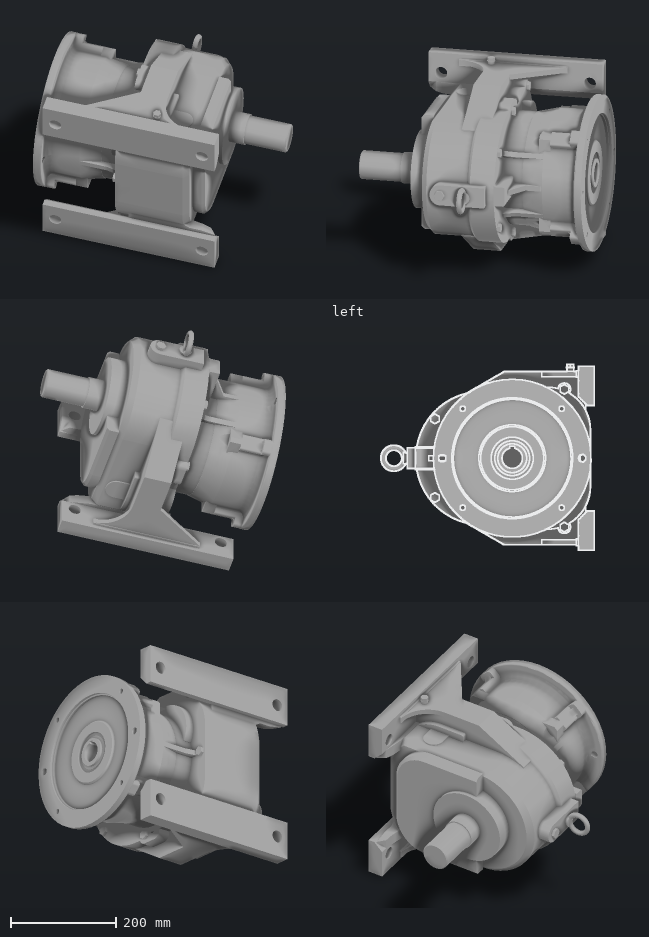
import cadquery as cq
import math


FLANGE_DIA = 300
FLANGE_THICK = 15
FLANGE_EDGE_RADIUS = 3
HOUSING_RADIUS = 120
HOUSING_BLEND = 14
HOUSING_CONE_START = 83
HOUSING_CONE_END = 123.5
HOUSING_CONE_RADIUS = 110
HOUSING_NECK_RADIUS = 109
SEAM_ANGLE = 20
BOLT_CIRCLE_RADIUS = 133
SMALL_HOLE_DIA = 10.2
SMALL_HOLE_DEPTH = 28
LARGE_HOLE_DIA = 14

SPIGOT_DIA = 230
SPIGOT_DEPTH = 5
INNER_RECESS_DIA = 224
INNER_RECESS_DEPTH = 10
BOSS_BASE_DIA = 127
BOSS_TOP_DIA = 120
BOSS_HEIGHT = 4
SEAL_BORE_DIA = 80
SEAL_STEP_DIA = 66.41
SEAL_STEP_HEIGHT = 1
SLEEVE_DIA = 55
SLEEVE_HEIGHT = 6
INPUT_BORE_DIA = 39
INPUT_BORE_DEPTH = 60
KEYWAY_WIDTH = 10
KEYWAY_TOP = 22.5

LUG_TOP = 149.4
LUG_RIB_HEIGHT = 134.5
LUG_HALF_WIDTH = 15
LUG_EDGE_RADIUS = 7
RIB_EDGE_RADIUS = 4.5
RIB_BASE_RADIUS = 6.8
RIB_BASE_Y = 118
RIB_WALL_BASE_Y = 122.5
LUG_END = 30
LUG_STEP_RADIUS = 8
LUG_BLOCK_START = 71
LUG_BLOCK_END = 93
LUG_BLOCK_HALF = 98.5
LUG_BLOCK_CHAMFER = 6.5
LUG_CLEARANCE_RADIUS = 20
LUG_CLEARANCE_END = 115

SHAFT_Y = 50
CASE_TOP_Y = 56.4
COVER_FACE = 162
COVER_JOINT = 177.5
CASE_FLANGE_END = 209
CASE_FLANGE_RAMP_END = 216
CASE_END = 306.5
CASE_END_CHAMFER = 11
CASE_RADIUS = 119.6
CASE_FLANGE_RADIUS = 127.2
NOTCH_HALF_WIDTH = 113
CASE_BOTTOM = -149
CASE_FLAT_HALF = 53
CASE_CORNER_RADIUS = 82
SHOULDER_TOP = -30
SHOULDER_RADIUS = 35
EAR_TOP = 44
EAR_BOTTOM = -14
EAR_HALF_WIDTH = 137
EAR_CORNER_RADIUS = 15
EAR_HOLE_DIA = 10
EAR_HOLE_Y = 8
EAR_HOLE_Z = 119
LOWER_EAR_Y = -99
LOWER_EAR_Z = 131
LOWER_EAR_RADIUS = 12
BOLT_HEX_DIA = 18.5
BOLT_HEAD_HEIGHT = 6
CASE_BOLT_RADIUS = 122.5
UPPER_BOLT_Y = 147
MIDDLE_BOLT_Y = 27.5
BOTTOM_BOLT_Y = -137
COVER_BOSS_RADIUS = 59
COVER_BOSS_OFFSET = 55
COVER_BOSS_LOW_Z = 27
COVER_BOSS_START = 145

FIN_WIDTH = 10
FIN_START = 85
FIN_KNEE = 138
FIN_RISE = 5
FIN_ANGLES = (60, 120, 270)
BRACKET_START = 140.5
BRACKET_TOP = 184
BRACKET_HALF_WIDTH = 19
BRACKET_CORNER_RADIUS = 4
BRACKET_FOOT_RADIUS = 2.5
GUSSET_KNEE = 114.5
GUSSET_TOP = 159

SHAFT_DIA = 55
SHAFT_END = 450
SHAFT_CHAMFER = 2
SHAFT_SHOULDER_DIA = 60
SHAFT_SHOULDER_END = 368
COLLAR_DIA = 150
COLLAR_END = 338
PAD_END = 329.7
PAD_CHAMFER = 5.7
PAD_TOP = 66.6
PAD_BOTTOM = -117
PAD_FLAT_HALF = 48
PAD_CORNER_RADIUS = 66

FOOT_START = 21
FOOT_LENGTH = 340
FOOT_BOTTOM = -156
FOOT_THICK = 30
FOOT_TOP = FOOT_BOTTOM + FOOT_THICK
FOOT_OUTER = 175
FOOT_WIDTH = 75
FOOT_INNER = FOOT_OUTER - FOOT_WIDTH
FOOT_CHAMFER = 17
FOOT_HOLE_DIA = 24
FOOT_HOLE_Z = 135
FOOT_HOLE_START = 46
FOOT_HOLE_SPACING = 290
WEB_FRONT = 186.5
WEB_BACK = 240
WEB_OUTER = 165
WEB_SLOPE_START_Y = 15
WEB_SLOPE_ANGLE = 30
WEB_THICK = 10
WEB_TOE = 89
WEB_KNEE_Y = -56
WEB_ARC_RADIUS = 60
WEB_PAD_HEIGHT = 4.5
WEB_PAD_MARGIN = 1.5
WEB_INNER_Y = -140
WEB_INNER_Z = 89
BACK_PLATE_END = 250
BACK_PLATE_TOP = -14
BACK_PLATE_CORNER = 4
TOE_WEDGE_TOP = -119
TOE_WEDGE_END = 346
TOE_INNER_Z = 95
TOE_KNEE_X = 330
TOE_END_X = 358
SIDE_BOSS_Y = -66
SIDE_BOSS_RADIUS = 20
SIDE_BOSS_END = 292
SIDE_BOSS_HEIGHT = 3

PLUG_X = 234.6
PLUG_Y = -110.5
PLUG_NECK_DIA = 13
PLUG_WASHER_DIA = 15.5
PLUG_NECK_END = 171.5
PLUG_WASHER_END = 172.5
PLUG_TOP = 179
TOP_BLOCK_END = 283.5
TOP_BLOCK_HALF_WIDTH = 20
TOP_BLOCK_Y = 200
TOP_PLUG_X = 264
TOP_PLUG_HEX = 20
TOP_PLUG_HEIGHT = 6
EYE_X = 216
EYE_Y = 225
EYE_RADIUS = 20
EYE_WIRE_DIA = 10
EYE_BASE_DIA = 19
EYE_BASE_TOP_DIA = 24
EYE_BASE_HEIGHT = 7


def section(start):
    """Plane across the shafts at X = start; its local axes are Y and Z."""
    return cq.Workplane("YZ", origin=(start, 0, 0))


def disc(start, end, diameter, y=0, z=0):
    return section(start).center(y, z).circle(diameter / 2).extrude(end - start)


def plate(start, end, y0, y1, z0, z1):
    corner = (start, y0, z0)
    return cq.Workplane("XY").box(end - start, y1 - y0, z1 - z0, centered=False).translate(corner)


def along_z(z0, z1):
    return cq.Workplane("XY", origin=(0, 0, z0)), z1 - z0


def both_sides(body):
    """The body and its mirror image in the plane Z = 0."""
    return body.union(body.mirror("XY"))


def turned(body, angle):
    return body.rotate((0, 0, 0), (1, 0, 0), angle)


def motor_housing():
    flange_radius = FLANGE_DIA / 2
    blend_end = FLANGE_THICK + HOUSING_BLEND
    blend_top = HOUSING_RADIUS + HOUSING_BLEND
    middle = HOUSING_BLEND * (1 - math.sqrt(0.5))
    rim = FLANGE_EDGE_RADIUS
    rim_middle = rim * math.sqrt(0.5)
    floor = INNER_RECESS_DEPTH
    profile = (
        cq.Workplane("XY")
        .moveTo(INPUT_BORE_DEPTH, 0)
        .lineTo(INPUT_BORE_DEPTH, INPUT_BORE_DIA / 2)
        .lineTo(floor - SLEEVE_HEIGHT, INPUT_BORE_DIA / 2)
        .lineTo(floor - SLEEVE_HEIGHT, SLEEVE_DIA / 2)
        .lineTo(floor - SEAL_STEP_HEIGHT, SLEEVE_DIA / 2)
        .lineTo(floor - SEAL_STEP_HEIGHT, SEAL_STEP_DIA / 2)
        .lineTo(floor, SEAL_STEP_DIA / 2)
        .lineTo(floor, SEAL_BORE_DIA / 2)
        .lineTo(floor - BOSS_HEIGHT, SEAL_BORE_DIA / 2)
        .lineTo(floor - BOSS_HEIGHT, BOSS_TOP_DIA / 2)
        .lineTo(floor, BOSS_BASE_DIA / 2)
        .lineTo(floor, INNER_RECESS_DIA / 2)
        .lineTo(SPIGOT_DEPTH, INNER_RECESS_DIA / 2)
        .lineTo(SPIGOT_DEPTH, SPIGOT_DIA / 2)
        .lineTo(0, SPIGOT_DIA / 2)
        .lineTo(0, flange_radius)
        .lineTo(FLANGE_THICK - rim, flange_radius)
        .threePointArc(
            (FLANGE_THICK - rim + rim_middle, flange_radius - rim + rim_middle),
            (FLANGE_THICK, flange_radius - rim),
        )
        .lineTo(FLANGE_THICK, blend_top)
        .threePointArc(
            (FLANGE_THICK + middle, HOUSING_RADIUS + middle), (blend_end, HOUSING_RADIUS)
        )
        .lineTo(HOUSING_CONE_START, HOUSING_RADIUS)
        .lineTo(HOUSING_CONE_END, HOUSING_CONE_RADIUS)
        .lineTo(HOUSING_CONE_END, HOUSING_NECK_RADIUS)
        .lineTo(COVER_FACE, HOUSING_NECK_RADIUS)
        .lineTo(COVER_FACE, 0)
        .close()
    )
    return turned(profile.revolve(360, (0, 0, 0), (1, 0, 0)), SEAM_ANGLE)


def lug_rib():
    """Lug behind the flange rim and a lower rounded rib behind it, in the +Y direction."""
    start = FLANGE_THICK - FLANGE_EDGE_RADIUS
    lug = plate(start, LUG_END, HOUSING_NECK_RADIUS, LUG_TOP, -LUG_HALF_WIDTH, LUG_HALF_WIDTH)
    lug = lug.edges("|X and >Y").fillet(LUG_EDGE_RADIUS)
    step = (
        cq.Workplane("XY", origin=(0, 0, -LUG_HALF_WIDTH + LUG_EDGE_RADIUS))
        .moveTo(LUG_END, LUG_RIB_HEIGHT - LUG_STEP_RADIUS)
        .lineTo(LUG_END, LUG_RIB_HEIGHT + LUG_STEP_RADIUS)
        .radiusArc((LUG_END + LUG_STEP_RADIUS, LUG_RIB_HEIGHT), -LUG_STEP_RADIUS)
        .lineTo(LUG_END + LUG_STEP_RADIUS, LUG_RIB_HEIGHT - LUG_STEP_RADIUS)
        .close()
        .extrude(2 * (LUG_HALF_WIDTH - LUG_EDGE_RADIUS))
    )
    base_half = LUG_HALF_WIDTH + RIB_BASE_RADIUS
    flat_half = LUG_HALF_WIDTH - RIB_EDGE_RADIUS
    shoulder_y = LUG_RIB_HEIGHT - RIB_EDGE_RADIUS
    rib = (
        section(start)
        .moveTo(HOUSING_NECK_RADIUS, -base_half)
        .lineTo(RIB_BASE_Y, -base_half)
        .radiusArc((RIB_WALL_BASE_Y, -LUG_HALF_WIDTH), RIB_BASE_RADIUS)
        .lineTo(shoulder_y, -LUG_HALF_WIDTH)
        .radiusArc((LUG_RIB_HEIGHT, -flat_half), -RIB_EDGE_RADIUS)
        .lineTo(LUG_RIB_HEIGHT, flat_half)
        .radiusArc((shoulder_y, LUG_HALF_WIDTH), -RIB_EDGE_RADIUS)
        .lineTo(RIB_WALL_BASE_Y, LUG_HALF_WIDTH)
        .radiusArc((RIB_BASE_Y, base_half), RIB_BASE_RADIUS)
        .lineTo(HOUSING_NECK_RADIUS, base_half)
        .close()
        .extrude(LUG_BLOCK_START - start)
    )
    return rib.union(lug).union(step)


def with_lugs(body):
    side = 2 * LUG_BLOCK_HALF
    blocks = (
        section(LUG_BLOCK_START).rect(side, side).extrude(LUG_BLOCK_END - LUG_BLOCK_START)
        .edges("|X").chamfer(LUG_BLOCK_CHAMFER)
    )
    blocks = blocks.intersect(disc(LUG_BLOCK_START, LUG_BLOCK_END, FLANGE_DIA))
    body = body.union(blocks)
    clearance = disc(LUG_BLOCK_END, LUG_CLEARANCE_END, 2 * LUG_CLEARANCE_RADIUS, BOLT_CIRCLE_RADIUS)
    for angle in (45, 135, 225, 315):
        body = body.union(turned(lug_rib(), angle))
        body = body.cut(turned(clearance, angle))
    return body


def flange_holes(body):
    small = disc(0, SMALL_HOLE_DEPTH, SMALL_HOLE_DIA, BOLT_CIRCLE_RADIUS)
    for angle in (45, 135, 225, 315):
        body = body.cut(turned(small, angle))
    large = disc(0, FLANGE_THICK + HOUSING_BLEND, LARGE_HOLE_DIA, BOLT_CIRCLE_RADIUS)
    for angle in (0, 180):
        body = body.cut(turned(large, angle))
    return body


def input_keyway(body):
    half_key = KEYWAY_WIDTH / 2
    return body.cut(plate(0, INPUT_BORE_DEPTH, -half_key, half_key, 0, KEYWAY_TOP))


def neck_fin():
    """Fin in the +Y direction along the neck, rising towards the gear case."""
    return (
        cq.Workplane("XY", origin=(0, 0, -FIN_WIDTH / 2))
        .moveTo(FIN_START, 0)
        .lineTo(FIN_START, HOUSING_RADIUS)
        .lineTo(FIN_KNEE, HOUSING_RADIUS)
        .lineTo(COVER_FACE, HOUSING_RADIUS + FIN_RISE)
        .lineTo(COVER_FACE, 0)
        .close()
        .extrude(FIN_WIDTH)
    )


def neck_bracket():
    """Upright block against the cover with a sloping gusset in front of it."""
    block = plate(
        BRACKET_START, COVER_FACE, 0, BRACKET_TOP, -BRACKET_HALF_WIDTH, BRACKET_HALF_WIDTH
    )
    block = block.edges("|Y and <X").fillet(BRACKET_CORNER_RADIUS)
    base_half = BRACKET_HALF_WIDTH + BRACKET_FOOT_RADIUS
    base = plate(
        COVER_FACE - BRACKET_FOOT_RADIUS, COVER_FACE, 0, BRACKET_TOP, -base_half, base_half
    )
    base = base.edges("|Y and <X").chamfer(BRACKET_FOOT_RADIUS * 0.99)
    gusset = (
        cq.Workplane("XY", origin=(0, 0, -FIN_WIDTH / 2))
        .moveTo(FIN_START, 0)
        .lineTo(FIN_START, HOUSING_RADIUS)
        .lineTo(GUSSET_KNEE, HOUSING_RADIUS)
        .lineTo(BRACKET_START, GUSSET_TOP)
        .lineTo(BRACKET_START, 0)
        .close()
        .extrude(FIN_WIDTH)
    )
    return block.union(base).union(gusset)


def case_outline(plane, inset):
    """Case outline moved inwards by inset: round top, straight sides, rounded lower corners."""
    bottom = CASE_BOTTOM + inset
    side = CASE_RADIUS - inset
    corner = CASE_CORNER_RADIUS - inset
    low_y = bottom + corner - math.sqrt(corner**2 - (side - CASE_FLAT_HALF) ** 2)
    return (
        plane.moveTo(bottom, -CASE_FLAT_HALF)
        .lineTo(bottom, CASE_FLAT_HALF)
        .radiusArc((low_y, side), corner)
        .lineTo(CASE_TOP_Y, side)
        .threePointArc((CASE_TOP_Y + side, 0), (CASE_TOP_Y, -side))
        .lineTo(low_y, -side)
        .radiusArc((bottom, -CASE_FLAT_HALF), corner)
        .close()
    )


def case_shell():
    chamfer_start = CASE_END - CASE_END_CHAMFER
    shell = case_outline(section(COVER_FACE), 0).extrude(chamfer_start - COVER_FACE)
    end = case_outline(section(chamfer_start), 0).workplane(offset=CASE_END_CHAMFER)
    return shell.union(case_outline(end, CASE_END_CHAMFER).loft(ruled=True))


def lower_frame(start, end, top, top_radius):
    """Rounded lower part of the case flange, up to Y = top."""
    side = CASE_FLAT_HALF + CASE_CORNER_RADIUS
    frame = section(start).center((top + CASE_BOTTOM) / 2, 0)
    frame = frame.rect(top - CASE_BOTTOM, 2 * side).extrude(end - start)
    frame = frame.edges("|X and >Y").fillet(top_radius)
    disc_y = CASE_BOTTOM + CASE_CORNER_RADIUS
    corners = plate(start, end, CASE_BOTTOM, disc_y, CASE_FLAT_HALF, side)
    corners = corners.cut(disc(start, end, 2 * CASE_CORNER_RADIUS, disc_y, CASE_FLAT_HALF))
    return frame.cut(both_sides(corners))


def case_flange():
    ring = disc(COVER_FACE, CASE_FLANGE_END, 2 * CASE_FLANGE_RADIUS, CASE_TOP_Y)
    ramp = (
        section(CASE_FLANGE_END).center(CASE_TOP_Y, 0).circle(CASE_FLANGE_RADIUS)
        .workplane(offset=CASE_FLANGE_RAMP_END - CASE_FLANGE_END).circle(CASE_RADIUS).loft()
    )
    ear = plate(COVER_FACE, WEB_FRONT, EAR_BOTTOM, EAR_TOP, 0, EAR_HALF_WIDTH)
    ear = ear.edges("|X and >Z").fillet(EAR_CORNER_RADIUS)
    side = plate(COVER_FACE, WEB_FRONT, MIDDLE_BOLT_Y, CASE_TOP_Y, 0, CASE_FLANGE_RADIUS)
    notch = plate(COVER_FACE, WEB_FRONT, CASE_BOTTOM / 2, CASE_TOP_Y, 0, NOTCH_HALF_WIDTH)
    lower_ear = disc(COVER_FACE, WEB_FRONT, 2 * LOWER_EAR_RADIUS, LOWER_EAR_Y, LOWER_EAR_Z)
    frame = lower_frame(COVER_FACE, WEB_FRONT, SHOULDER_TOP, SHOULDER_RADIUS)
    hole = disc(COVER_FACE, COVER_JOINT, EAR_HOLE_DIA, EAR_HOLE_Y, EAR_HOLE_Z)
    sides = both_sides(ear.union(lower_ear).union(side).union(notch))
    flange = ring.union(ramp).union(sides).union(frame)
    return flange, both_sides(hole)


def cover_bolts():
    def pitch_z(y):
        return math.sqrt(CASE_BOLT_RADIUS**2 - (y - SHAFT_Y) ** 2)

    places = [(BOTTOM_BOLT_Y, 0)]
    for side in (-1, 1):
        places.append((UPPER_BOLT_Y, side * pitch_z(UPPER_BOLT_Y)))
        places.append((MIDDLE_BOLT_Y, side * pitch_z(MIDDLE_BOLT_Y)))
        places.append((LOWER_EAR_Y, side * LOWER_EAR_Z))
    heads = cq.Workplane("YZ")
    for y, z in places:
        head = section(COVER_FACE - BOLT_HEAD_HEIGHT).polygon(6, BOLT_HEX_DIA)
        head = turned(head.extrude(BOLT_HEAD_HEIGHT), 90)
        heads = heads.add(head.translate((0, y, z)))
    return heads.combine()


def cover_boss():
    """Part of a round boss on the cover, cut off by a level and an upright plane."""
    centre = COVER_BOSS_OFFSET
    boss = disc(COVER_BOSS_START, COVER_FACE, 2 * COVER_BOSS_RADIUS, -centre, centre)
    far = centre + COVER_BOSS_RADIUS
    return boss.intersect(
        plate(COVER_BOSS_START, COVER_FACE, -far, -centre, COVER_BOSS_LOW_Z, far)
    )


def output_side():
    pad = plate(
        CASE_END, PAD_END, PAD_BOTTOM, PAD_TOP,
        -PAD_FLAT_HALF - PAD_CORNER_RADIUS, PAD_FLAT_HALF + PAD_CORNER_RADIUS,
    )
    pad = pad.edges("|X and <Y").fillet(PAD_CORNER_RADIUS)
    pad = pad.faces(">X").edges("not(>Y)").chamfer(PAD_CHAMFER)
    collar = disc(CASE_END, COLLAR_END, COLLAR_DIA, SHAFT_Y)
    shoulder = disc(COLLAR_END, SHAFT_SHOULDER_END, SHAFT_SHOULDER_DIA, SHAFT_Y)
    shaft = disc(SHAFT_SHOULDER_END, SHAFT_END, SHAFT_DIA, SHAFT_Y)
    shaft = shaft.faces(">X").chamfer(SHAFT_CHAMFER)
    return pad.union(collar).union(shoulder).union(shaft)


def foot():
    bar = plate(
        FOOT_START, FOOT_START + FOOT_LENGTH, FOOT_BOTTOM, FOOT_TOP, FOOT_INNER, FOOT_OUTER
    )
    bar = bar.edges("|X and >Y and <Z").chamfer(FOOT_CHAMFER)
    holes = cq.Workplane("XZ", origin=(0, FOOT_TOP, 0))
    places = [(FOOT_HOLE_START, FOOT_HOLE_Z), (FOOT_HOLE_START + FOOT_HOLE_SPACING, FOOT_HOLE_Z)]
    holes = holes.pushPoints(places).circle(FOOT_HOLE_DIA / 2).extrude(FOOT_THICK)
    return bar.cut(holes)


def foot_upright():
    """Wide upright beside the case, sloping onto the case at its top."""
    slope = math.radians(WEB_SLOPE_ANGLE)
    touch_y = CASE_TOP_Y + CASE_RADIUS * math.sin(slope)
    touch_z = WEB_OUTER - (touch_y - WEB_SLOPE_START_Y) * math.tan(slope)
    return (
        section(WEB_FRONT)
        .moveTo(0, 0)
        .lineTo(touch_y, 0)
        .lineTo(touch_y, touch_z)
        .lineTo(WEB_SLOPE_START_Y, WEB_OUTER)
        .lineTo(FOOT_TOP, WEB_OUTER)
        .lineTo(FOOT_TOP, FOOT_INNER)
        .lineTo(WEB_INNER_Y, FOOT_INNER)
        .lineTo(WEB_INNER_Y, WEB_INNER_Z)
        .close()
        .extrude(WEB_BACK - WEB_FRONT)
    )


def foot_web():
    """Thin web from the upright out along the foot, with a low pad under it."""
    pad_top = FOOT_TOP + WEB_PAD_HEIGHT
    arc_end = WEB_BACK + WEB_ARC_RADIUS
    plane, thick = along_z(WEB_OUTER - WEB_THICK, WEB_OUTER)
    web = (
        plane.moveTo(WEB_FRONT, WEB_KNEE_Y)
        .lineTo(WEB_TOE, pad_top)
        .lineTo(WEB_TOE, FOOT_TOP)
        .lineTo(arc_end, FOOT_TOP)
        .lineTo(arc_end, pad_top)
        .radiusArc((WEB_BACK, pad_top + WEB_ARC_RADIUS), WEB_ARC_RADIUS)
        .lineTo(WEB_FRONT, pad_top + WEB_ARC_RADIUS)
        .close()
        .extrude(thick)
    )
    pad = plate(
        WEB_TOE, arc_end, FOOT_TOP, pad_top,
        WEB_OUTER - WEB_THICK - WEB_PAD_MARGIN, WEB_OUTER + WEB_PAD_MARGIN,
    )
    return web.union(pad)


def foot_toe():
    """Rib along the inner side of the foot, sloping down and tapering behind the case."""
    outer = FOOT_INNER + FOOT_CHAMFER
    plane, width = along_z(WEB_INNER_Z, outer)
    side = (
        plane.moveTo(WEB_FRONT, WEB_INNER_Y)
        .lineTo(WEB_FRONT, TOE_WEDGE_TOP)
        .lineTo(CASE_END, TOE_WEDGE_TOP)
        .lineTo(TOE_WEDGE_END, FOOT_TOP)
        .lineTo(TOE_END_X, WEB_INNER_Y)
        .close()
        .extrude(width)
    )
    plan = (
        cq.Workplane("XZ", origin=(0, TOE_WEDGE_TOP, 0))
        .moveTo(WEB_FRONT, WEB_INNER_Z)
        .lineTo(CASE_END - CASE_END_CHAMFER, WEB_INNER_Z)
        .lineTo(CASE_END, TOE_INNER_Z)
        .lineTo(TOE_KNEE_X, TOE_INNER_Z)
        .lineTo(TOE_END_X, FOOT_INNER)
        .lineTo(TOE_END_X, outer)
        .lineTo(WEB_FRONT, outer)
        .close()
        .extrude(TOE_WEDGE_TOP - WEB_INNER_Y)
    )
    return side.intersect(plan)


def side_boss():
    top = CASE_RADIUS + SIDE_BOSS_HEIGHT
    round_x = SIDE_BOSS_END - SIDE_BOSS_RADIUS
    low = SIDE_BOSS_Y - SIDE_BOSS_RADIUS
    high = SIDE_BOSS_Y + SIDE_BOSS_RADIUS
    plane, height = along_z(0, top)
    end = plane.center(round_x, SIDE_BOSS_Y).circle(SIDE_BOSS_RADIUS).extrude(height)
    return end.union(plate(WEB_BACK, round_x, low, high, 0, top))


def side_plug():
    def stage(z0, z1):
        plane, height = along_z(z0, z1)
        return plane.center(PLUG_X, PLUG_Y), height

    neck_plane, neck = stage(WEB_OUTER - WEB_THICK, PLUG_NECK_END)
    washer_plane, washer = stage(PLUG_NECK_END, PLUG_WASHER_END)
    head_plane, head = stage(PLUG_WASHER_END, PLUG_TOP)
    plug = neck_plane.circle(PLUG_NECK_DIA / 2).extrude(neck)
    plug = plug.union(washer_plane.circle(PLUG_WASHER_DIA / 2).extrude(washer))
    return plug.union(head_plane.polygon(6, PLUG_WASHER_DIA).extrude(head))


def top_block():
    half = TOP_BLOCK_HALF_WIDTH
    block = plate(COVER_JOINT, TOP_BLOCK_END, SHAFT_Y, TOP_BLOCK_Y, -half, half)
    block = block.edges("|Y and >X").fillet(half * 0.99)
    deck = cq.Workplane("XZ", origin=(0, TOP_BLOCK_Y, 0))
    plug = deck.center(TOP_PLUG_X, 0).polygon(6, TOP_PLUG_HEX).extrude(-TOP_PLUG_HEIGHT)
    return block.union(plug)


def lifting_eye():
    base = (
        cq.Workplane("XZ", origin=(EYE_X, TOP_BLOCK_Y, 0)).circle(EYE_BASE_DIA / 2)
        .workplane(offset=-EYE_BASE_HEIGHT).circle(EYE_BASE_TOP_DIA / 2).loft()
    )
    ring = cq.Solid.makeTorus(
        EYE_RADIUS, EYE_WIRE_DIA / 2, cq.Vector(EYE_X, EYE_Y, 0), cq.Vector(1, 0, 0)
    )
    return base.union(cq.Workplane(ring))


def build():
    body = input_keyway(flange_holes(with_lugs(motor_housing())))
    for angle in FIN_ANGLES:
        body = body.union(turned(neck_fin(), angle - 90))
    body = body.union(neck_bracket())
    flange, ear_holes = case_flange()
    body = body.union(flange).cut(ear_holes)
    body = body.union(case_shell()).union(cover_bolts()).union(output_side())
    body = body.union(cover_boss())
    body = body.union(lower_frame(WEB_FRONT, BACK_PLATE_END, BACK_PLATE_TOP, BACK_PLATE_CORNER))
    support = foot().union(foot_upright()).union(foot_web()).union(foot_toe()).union(side_boss())
    body = body.union(both_sides(support))
    return body.union(side_plug()).union(top_block()).union(lifting_eye())


result = build()